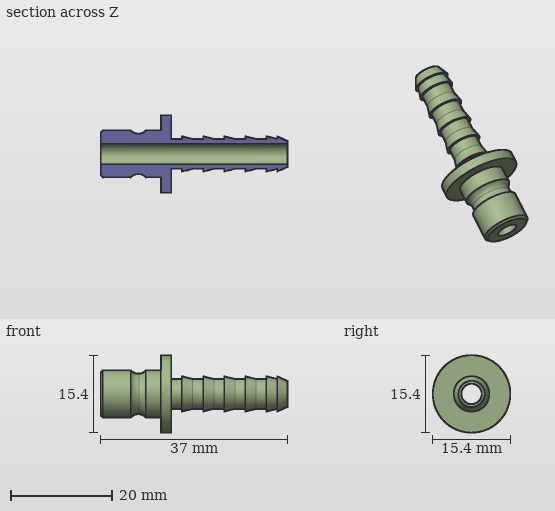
import cadquery as cq

total_length = 37.0
bore_radius = 2.0

plug_radius = 4.7
plug_chamfer = 0.48
groove_start = 5.95
groove_floor = 7.5
groove_end = 8.95
groove_floor_radius = 4.05

flange_start = 11.95
flange_width = 2.05
flange_radius = 7.7

stem_radius = 3.0
barb_radius = 3.5
tip_end_radius = 2.6
barb_count = 5
tail_start = flange_start + flange_width
step_count = 2 * barb_count + 1
step_length = (total_length - tail_start) / step_count


def groove_arc_radius(axial_span):
    """Radius of an arc that spans the groove depth and runs level at the groove floor."""
    groove_depth = plug_radius - groove_floor_radius
    return (axial_span**2 + groove_depth**2) / (2 * groove_depth)


def add_plug(profile):
    """Chamfered cylinder with a locking groove of two arcs that blend at its floor."""
    entry_radius = groove_arc_radius(groove_floor - groove_start)
    exit_radius = groove_arc_radius(groove_end - groove_floor)
    return (
        profile.lineTo(0, plug_radius - plug_chamfer)
        .lineTo(plug_chamfer, plug_radius)
        .lineTo(groove_start, plug_radius)
        .radiusArc((groove_floor, groove_floor_radius), -entry_radius)
        .radiusArc((groove_end, plug_radius), -exit_radius)
        .lineTo(flange_start, plug_radius)
    )


def add_flange(profile):
    """Flat disc between the plug and the hose tail."""
    return (
        profile.lineTo(flange_start, flange_radius)
        .lineTo(tail_start, flange_radius)
        .lineTo(tail_start, stem_radius)
    )


def add_hose_tail(profile):
    """Stem with square-backed barbs that taper towards the tip."""
    for barb in range(barb_count):
        barb_start = tail_start + (2 * barb + 1) * step_length
        profile = (
            profile.lineTo(barb_start, stem_radius)
            .lineTo(barb_start, barb_radius)
            .lineTo(barb_start + step_length, stem_radius)
        )
    return (
        profile.lineTo(total_length - step_length, barb_radius)
        .lineTo(total_length, tip_end_radius)
    )


half_section = cq.Workplane("XY").moveTo(0, bore_radius)
half_section = add_plug(half_section)
half_section = add_flange(half_section)
half_section = add_hose_tail(half_section)
half_section = half_section.lineTo(total_length, bore_radius).close()

result = half_section.revolve(360, (0, 0, 0), (1, 0, 0))